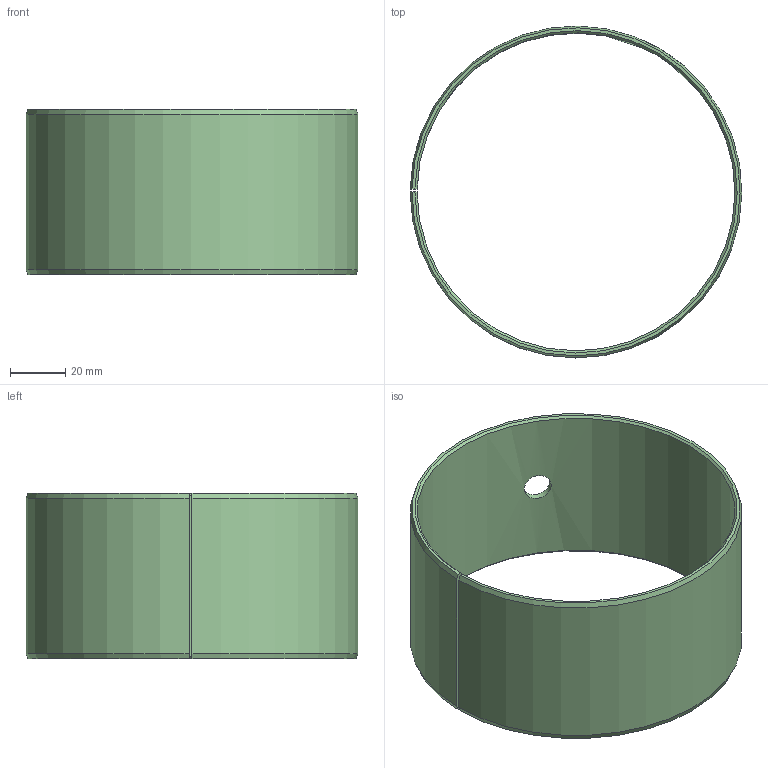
import cadquery as cq
import math

outer_radius = 60.0
wall_thickness = 2.5
inner_radius = outer_radius - wall_thickness
length = 60.0

outer_chamfer_length = 1.8
outer_chamfer_angle = 20.0
outer_chamfer_depth = outer_chamfer_length * math.tan(math.radians(outer_chamfer_angle))

bore_chamfer = 0.8

gap_angle = 1.0
wall_start_angle = 180.0
wall_sweep_angle = 360.0 - gap_angle
wall_end_angle = wall_start_angle - gap_angle

oil_hole_diameter = 10.0
oil_hole_from_wall_end = 120.0
oil_hole_angle = wall_end_angle - oil_hole_from_wall_end


def rotate_about_axis(body, angle):
    """Turn a body counter-clockwise about the bushing axis."""
    return body.rotate((0, 0, 0), (0, 0, 1), angle)


def make_split_ring():
    """Revolve the wall section, chamfered at all four corners, leaving the joint gap open."""
    top = length / 2
    section = [
        (inner_radius, top - bore_chamfer),
        (inner_radius + bore_chamfer, top),
        (outer_radius - outer_chamfer_depth, top),
        (outer_radius, top - outer_chamfer_length),
        (outer_radius, outer_chamfer_length - top),
        (outer_radius - outer_chamfer_depth, -top),
        (inner_radius + bore_chamfer, -top),
        (inner_radius, bore_chamfer - top),
    ]
    ring = (
        cq.Workplane("XZ")
        .polyline(section)
        .close()
        .revolve(wall_sweep_angle, (0, 0), (0, 1))
    )
    return rotate_about_axis(ring, wall_start_angle)


def make_oil_hole():
    """Radial cylinder running from the axis out through one side of the wall."""
    reach = outer_radius + wall_thickness
    cylinder = cq.Workplane("YZ").circle(oil_hole_diameter / 2).extrude(reach)
    return rotate_about_axis(cylinder, oil_hole_angle)


result = make_split_ring().cut(make_oil_hole())